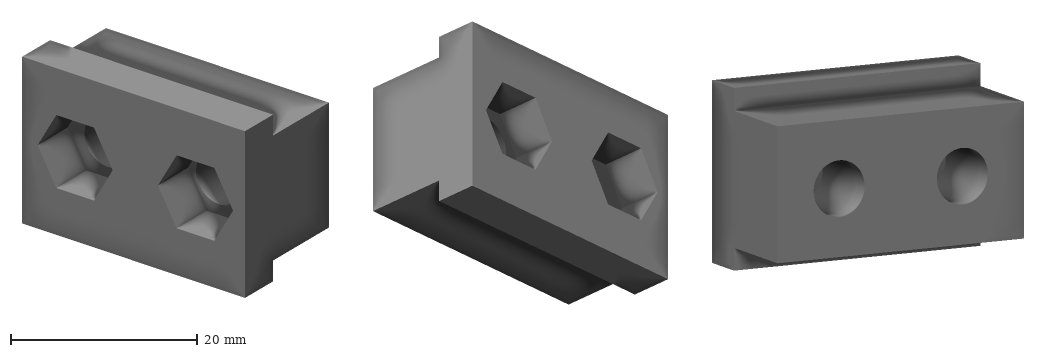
import cadquery as cq
import math

length = 30.0
depth = 15.0
flange_height = 20.0
flange_thickness = 5.0
body_height = 15.0

hole_diameter = 6.2
hole_offset = 7.5
nut_across_flats = 8.75
nut_across_corners = nut_across_flats / math.cos(math.radians(30))
nut_pocket_depth = 5.35
left_pocket_x = -7.85
right_pocket_x = 8.35

front_y = -depth / 2


def make_block():
    """T-shaped block centred on the origin."""
    body = cq.Workplane("XY").box(length, depth, body_height)
    flange = (
        cq.Workplane("XY")
        .box(length, flange_thickness, flange_height)
        .translate((0, front_y + flange_thickness / 2, 0))
    )
    return body.union(flange)


def front_plane():
    """Sketch plane on the flange face; a negative extrusion runs into the part (+Y)."""
    return cq.Workplane("XZ", origin=(0, front_y, 0))


def make_bolt_holes():
    return (
        front_plane()
        .pushPoints([(-hole_offset, 0), (hole_offset, 0)])
        .circle(hole_diameter / 2)
        .extrude(-depth)
    )


def make_nut_pockets():
    return (
        front_plane()
        .pushPoints([(left_pocket_x, 0), (right_pocket_x, 0)])
        .polygon(6, nut_across_corners)
        .extrude(-nut_pocket_depth)
    )


result = make_block().cut(make_bolt_holes()).cut(make_nut_pockets())